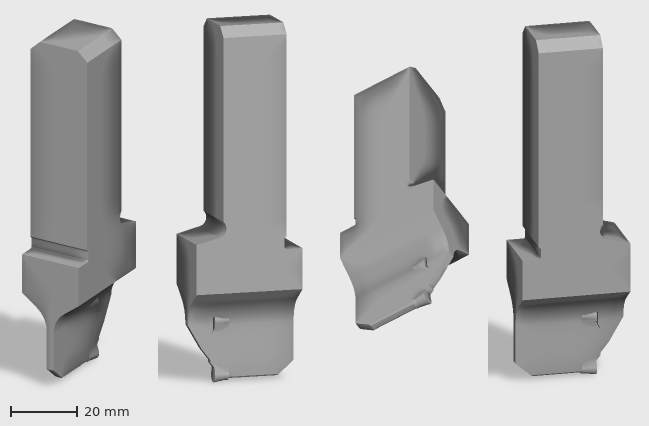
import cadquery as cq
import math

WIDTH = 19.9
DEPTH = 33.4
HEIGHT = 110.2

SHANK_FRONT = 5.0
SHANK_BACK = SHANK_FRONT + WIDTH
TOP_CHAMFER_X = 3.3
TOP_CHAMFER_Z = 3.1

FRONT_SHOULDER_Z = 41.4
FRONT_RELIEF_TOP = 45.4
FRONT_RELIEF_DEPTH = 0.7
RELIEF_CORNER = 0.3
BACK_SHOULDER_Z = 44.2
BACK_SLOPE = math.radians(14.5)
BACK_RELIEF_RADIUS = 2.8
BACK_RELIEF_DEPTH = 0.9

BLADE_THICKNESS = 2.5
BLADE_BOTTOM = 1.2
BLADE_EDGE_CHAMFER = 0.4
HEAD_BOTTOM = 28.9
BLADE_TOP = 22.5
BLADE_FILLET = 8.6
FRONT_CHAMFER_Y = 5.2
FRONT_CHAMFER_TOP = 5.7
BACK_SLOPE_TOP = 18.1
BACK_KINK = (29.0, 10.5)
BACK_SLOPE_END = (26.1, 6.8)

INSERT_SEAT_Y = 20.5
INSERT_RAKE_Y = 25.0
INSERT_BODY_Y = 26.2
INSERT_HEIGHT = 20.9
INSERT_BODY_END_Z = 6.2
INSERT_RAKE_TOP_Z = 4.6
HEAD_RADIUS = 2.1
HEAD_REAR_RADIUS = 1.5
HEAD_TAPER_END_Y = 21.5
NECK_START_Z = 2.9
NECK_REAR_TOP_Z = 4.1
NECK_RAKE_TOP_Z = 5.4
NECK_BAND_HEIGHT = 0.8
NECK_BAND_FLARE = 0.3
POCKET_GAP = 0.4


def extrude_across(sketch, width):
    """Extrude a YZ outline symmetrically about X = 0."""
    return sketch.close().extrude(width / 2, both=True)


def side_profile():
    """Shank, shoulders and blade outline, extruded over the full width."""
    relief_floor = SHANK_FRONT + FRONT_RELIEF_DEPTH
    center_y = SHANK_BACK - BACK_RELIEF_DEPTH + BACK_RELIEF_RADIUS
    arc_end_y = center_y - BACK_RELIEF_RADIUS * math.sin(BACK_SLOPE)
    arc_end_z = BACK_SHOULDER_Z + (DEPTH - arc_end_y) * math.tan(BACK_SLOPE)
    center_z = arc_end_z + BACK_RELIEF_RADIUS * math.cos(BACK_SLOPE)
    arc_start_rise = math.sqrt(BACK_RELIEF_RADIUS**2 - (center_y - SHANK_BACK) ** 2)
    outline = (
        cq.Workplane("YZ")
        .moveTo(FRONT_CHAMFER_Y, BLADE_BOTTOM)
        .lineTo(0, FRONT_CHAMFER_TOP)
        .lineTo(0, FRONT_SHOULDER_Z)
        .lineTo(relief_floor - RELIEF_CORNER, FRONT_SHOULDER_Z)
        .lineTo(relief_floor, FRONT_SHOULDER_Z + RELIEF_CORNER)
        .lineTo(relief_floor, FRONT_RELIEF_TOP - FRONT_RELIEF_DEPTH)
        .lineTo(SHANK_FRONT, FRONT_RELIEF_TOP)
        .lineTo(SHANK_FRONT, HEIGHT)
        .lineTo(SHANK_BACK, HEIGHT)
        .lineTo(SHANK_BACK, center_z + arc_start_rise)
        .threePointArc((center_y - BACK_RELIEF_RADIUS, center_z), (arc_end_y, arc_end_z))
        .lineTo(DEPTH, BACK_SHOULDER_Z)
        .lineTo(DEPTH, BACK_SLOPE_TOP)
        .lineTo(*BACK_KINK)
        .lineTo(*BACK_SLOPE_END)
        .lineTo(INSERT_SEAT_Y, BACK_SLOPE_END[1])
        .lineTo(INSERT_SEAT_Y, BLADE_BOTTOM)
    )
    return extrude_across(outline, WIDTH)


def front_profile():
    """Chamfered shank narrowing through filleted slopes to the thin blade."""
    half = WIDTH / 2
    blade_half = BLADE_THICKNESS / 2
    body = (
        cq.Workplane("XZ")
        .polyline([
            (-half, HEAD_BOTTOM),
            (-half, HEIGHT - TOP_CHAMFER_Z),
            (-half + TOP_CHAMFER_X, HEIGHT),
            (half - TOP_CHAMFER_X, HEIGHT),
            (half, HEIGHT - TOP_CHAMFER_Z),
            (half, HEAD_BOTTOM),
            (blade_half, BLADE_TOP),
            (blade_half, BLADE_BOTTOM + BLADE_EDGE_CHAMFER),
            (blade_half - BLADE_EDGE_CHAMFER, BLADE_BOTTOM),
            (-blade_half + BLADE_EDGE_CHAMFER, BLADE_BOTTOM),
            (-blade_half, BLADE_BOTTOM + BLADE_EDGE_CHAMFER),
            (-blade_half, BLADE_TOP),
        ])
        .close()
        .extrude(-DEPTH)
    )
    root_edges = cq.selectors.BoxSelector(
        (-blade_half - 1.1, -1.1, BLADE_TOP - 1.1), (blade_half + 1.1, DEPTH + 1.1, BLADE_TOP + 1.1)
    )
    return body.edges(root_edges).fillet(BLADE_FILLET)


def insert_pocket():
    """Through-slot for the insert, with round clearance at its upper cutting face."""
    head_level = INSERT_HEIGHT - HEAD_RADIUS
    rake_wall = INSERT_RAKE_Y + POCKET_GAP
    outline = cq.Workplane("YZ").polyline([
        (INSERT_SEAT_Y, 0),
        (INSERT_SEAT_Y, head_level),
        (rake_wall, head_level),
        (rake_wall, INSERT_HEIGHT - INSERT_RAKE_TOP_Z),
        (INSERT_BODY_Y, INSERT_HEIGHT - INSERT_BODY_END_Z),
        (INSERT_BODY_Y, 0),
    ])
    round_clearance = (
        cq.Workplane("XZ", origin=(0, INSERT_RAKE_Y, head_level)).circle(HEAD_RADIUS).extrude(-POCKET_GAP)
    )
    return extrude_across(outline, WIDTH).union(round_clearance)


def insert_web():
    """Flat middle of the insert, flush with the blade sides."""
    lower = [
        (INSERT_SEAT_Y, HEAD_RADIUS),
        (INSERT_RAKE_Y, HEAD_RADIUS),
        (INSERT_RAKE_Y, INSERT_RAKE_TOP_Z),
        (INSERT_BODY_Y, INSERT_BODY_END_Z),
    ]
    upper = [(y, INSERT_HEIGHT - z) for y, z in reversed(lower)]
    return extrude_across(cq.Workplane("YZ").polyline(lower + upper), BLADE_THICKNESS)


def cutting_head():
    """Lower round head: a cone tapering away from its cutting face."""
    return (
        cq.Workplane("XY")
        .polyline([
            (0, INSERT_SEAT_Y),
            (HEAD_REAR_RADIUS, INSERT_SEAT_Y),
            (HEAD_REAR_RADIUS, HEAD_TAPER_END_Y),
            (HEAD_RADIUS, INSERT_RAKE_Y),
            (0, INSERT_RAKE_Y),
        ])
        .close()
        .revolve(360, (0, 0), (0, 1))
        .translate((0, 0, HEAD_RADIUS))
    )


def neck_wire(y, radius, top_z):
    """Neck cross-section from the round head to the flat web."""
    web_half = BLADE_THICKNESS / 2
    base_half = math.sqrt(radius**2 - (NECK_START_Z - HEAD_RADIUS) ** 2)
    band_half = web_half + NECK_BAND_FLARE * (base_half - web_half)
    band_z = top_z - NECK_BAND_HEIGHT
    corners = [
        (-base_half, NECK_START_Z),
        (base_half, NECK_START_Z),
        (band_half, band_z),
        (web_half, top_z),
        (-web_half, top_z),
        (-band_half, band_z),
    ]
    return cq.Wire.makePolygon([cq.Vector(x, y, z) for x, z in corners], close=True)


def head_neck():
    """Tapered neck joining the lower head to the web."""
    rear = neck_wire(INSERT_SEAT_Y, HEAD_REAR_RADIUS, NECK_REAR_TOP_Z)
    rake = neck_wire(INSERT_RAKE_Y, HEAD_RADIUS, NECK_RAKE_TOP_Z)
    return cq.Workplane(cq.Solid.makeLoft([rear, rake], True))


def make_insert():
    """Double-ended insert, symmetric about its middle height."""
    lower_end = cutting_head().union(head_neck())
    upper_end = lower_end.mirror("XY", (0, 0, INSERT_HEIGHT / 2))
    return insert_web().union(lower_end).union(upper_end)


insert = make_insert()
holder = side_profile().intersect(front_profile()).cut(insert_pocket()).cut(insert)

result = cq.Compound.makeCompound([holder.solids().val(), insert.solids().val()])